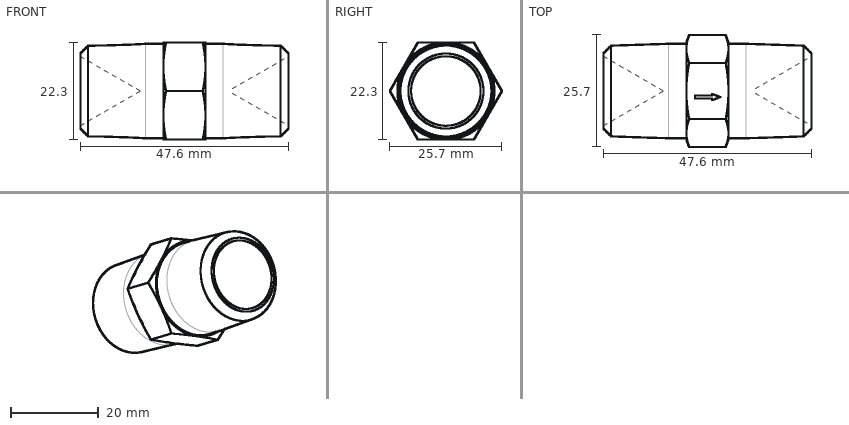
import cadquery as cq
import math

length = 47.6
body_diameter = 21.65
thread_length = 14.95
thread_tip_diameter = 20.8
end_chamfer_length = 1.8
end_face_diameter = thread_tip_diameter - 2 * end_chamfer_length

hex_across_flats = 22.25
hex_width = 9.6
hex_chamfer_angle = 20.0

seat_diameter = 15.9
seat_included_angle = 60.0

arrow_start_x = -2.8
arrow_neck_x = 1.05
arrow_tip_x = 2.95
arrow_center_y = -1.4
arrow_shaft_width = 0.6
arrow_head_width = 1.45
arrow_depth = 0.1

half_length = length / 2
hex_across_corners = hex_across_flats / math.cos(math.radians(30))


def make_body():
    """Revolve the round body: chamfered tip, tapered thread and plain middle on each side."""
    profile = [
        (half_length, end_face_diameter / 2),
        (half_length - end_chamfer_length, thread_tip_diameter / 2),
        (half_length - thread_length, body_diameter / 2),
    ]
    mirrored = [(-x, radius) for x, radius in reversed(profile)]
    outline = [(half_length, 0)] + profile + mirrored + [(-half_length, 0)]
    return cq.Workplane("XY").polyline(outline).close().revolve(360, (0, 0, 0), (1, 0, 0))


def make_hexagon():
    """Make the wrench hexagon, flats on top and bottom, with both ends chamfered."""
    prism = cq.Workplane("YZ").polygon(6, hex_across_corners).extrude(hex_width / 2, both=True)
    corner_radius = hex_across_corners / 2
    face_radius = hex_across_flats / 2
    chamfer_length = (corner_radius - face_radius) * math.tan(math.radians(hex_chamfer_angle))
    end = hex_width / 2
    shoulder = end - chamfer_length
    outline = [
        (end, 0),
        (end, face_radius),
        (shoulder, corner_radius),
        (-shoulder, corner_radius),
        (-end, face_radius),
        (-end, 0),
    ]
    envelope = cq.Workplane("XY").polyline(outline).close().revolve(360, (0, 0, 0), (1, 0, 0))
    return prism.intersect(envelope)


def make_seat():
    """Make the conical recess that opens at the -X end and narrows to a point."""
    radius = seat_diameter / 2
    depth = radius / math.tan(math.radians(seat_included_angle / 2))
    outline = [(-half_length, 0), (-half_length, radius), (-half_length + depth, 0)]
    return cq.Workplane("XY").polyline(outline).close().revolve(360, (0, 0, 0), (1, 0, 0))


def make_flow_arrow():
    """Make the shallow arrow sunk into the top flat, pointing toward +X."""
    half_shaft = arrow_shaft_width / 2
    half_head = arrow_head_width / 2
    upper_side = [(arrow_start_x, half_shaft), (arrow_neck_x, half_shaft), (arrow_neck_x, half_head)]
    lower_side = [(x, -y) for x, y in reversed(upper_side)]
    outline = upper_side + [(arrow_tip_x, 0)] + lower_side
    top_flat = cq.Workplane("XY", origin=(0, arrow_center_y, hex_across_flats / 2))
    return top_flat.polyline(outline).close().extrude(-arrow_depth)


seat = make_seat()
result = (
    make_body()
    .union(make_hexagon())
    .cut(seat)
    .cut(seat.mirror("YZ"))
    .cut(make_flow_arrow())
)